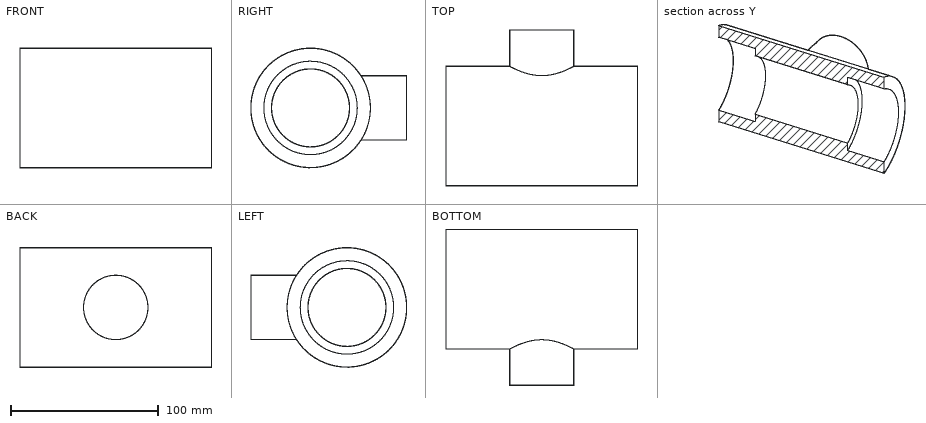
import cadquery as cq

run_length = 129.5
run_diameter = 81.0
socket_diameter = 63.2
bore_diameter = 52.6
socket_depth = 28.5

branch_diameter = 43.5
branch_reach = 65.0


def cylinder_along_x(diameter, start, length):
    """Cylinder on the run axis, beginning at X = start."""
    return cq.Workplane("YZ").workplane(offset=start).circle(diameter / 2).extrude(length)


run = cylinder_along_x(run_diameter, -run_length / 2, run_length)

branch = cq.Workplane("XZ").circle(branch_diameter / 2).extrude(-branch_reach)

bore = cylinder_along_x(bore_diameter, -run_length / 2, run_length)
body = run.union(branch).cut(bore)

for socket_start in (-run_length / 2, run_length / 2 - socket_depth):
    body = body.cut(cylinder_along_x(socket_diameter, socket_start, socket_depth))

result = body